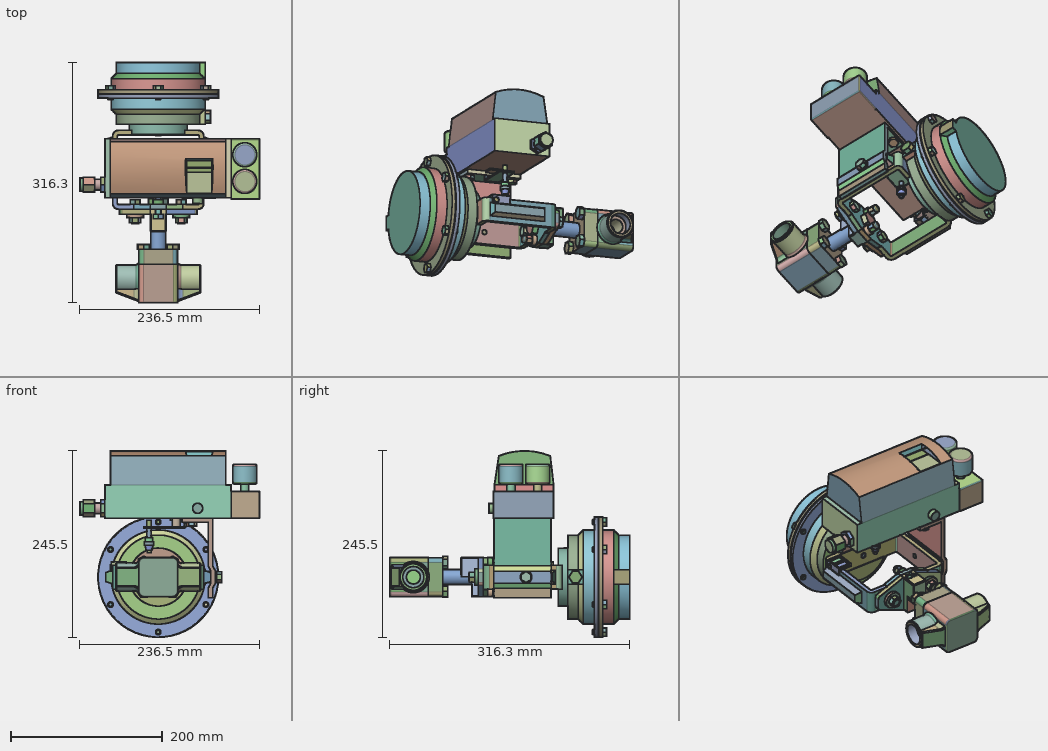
import cadquery as cq
import math




BODY_FRONT, BODY_BACK = -31.3, 19.5
BODY_HALF = 26.0
BODY_CORNER = 6.3
BODY_EDGE = 1.3
BONNET_BACK = 39.0
BONNET_HALF = 25.5
BONNET_BOLT_OFFSET = 19.0
BONNET_BOLT_SIZE = 17.0
BONNET_BOLT_BACK = 45.5
PIPE_RADIUS = 18.7
PIPE_HALF_LENGTH = 55.7
PIPE_CHAMFER = 1.3
NECK_RADIUS = 22.0
NECK_START = 32.3
SOCKET_RADIUS = 14.0
SOCKET_DEPTH = 14.2
BORE_RADIUS = 9.2
BORE_END = 12.5
GUSSET_HALF_WIDTH = 13.0
GUSSET_ROOT_HALF_WIDTH = 18.5
GUSSET_EDGE = 1.5
GUSSET_SETBACK = 1.5
GUSSET_EMBED = 1.0
STEM_RADIUS = 10.0

CLAMP_HALF_WIDTH = 10.5
CLAMP_HALF_HEIGHT = 26.0
CLAMP_UPPER_FRONT = 62.3
CLAMP_LOWER_FRONT = 77.0
CLAMP_LOWER_TOP = 0.3
CLAMP_EDGE = 1.3
CLAMP_BOLT_OFFSET = 19.0
PLATE_FRONT = 85.0
PLATE_HALF_LENGTH = 51.3
PLATE_END_HALF_HEIGHT = 9.8
PLATE_CORNER = 4.7
PLATE_BOLT_X = 30.5
NOTCH_HALF_WIDTH = 6.5
SLOT_HALF_WIDTH = 4.0
NOTCH_FRONT = 79.0
NOTCH_FLOOR = 12.5

YOKE_HALF_WIDTH = 60.0
YOKE_FRONT, YOKE_BACK = 91.8, 196.0
YOKE_HALF_HEIGHT = 15.8
YOKE_WALL = 6.3
YOKE_INSIDE = YOKE_FRONT + YOKE_WALL
YOKE_CORNER = 8.0
YOKE_LUG_HALF_WIDTH = 32.3
YOKE_LUG_INSET = 0.3
PAD_FRONT, PAD_BACK = 109.8, 187.0
PAD_HALF_HEIGHT = 9.2
PAD_HEIGHT = 9.2
PAD_TAPER = 3.5

FLANGE_RADIUS = 79.5
FLANGE_FRONT, FLANGE_BACK = 238.3, 249.3
CASE_RADIUS = 62.0
END_RADIUS = 55.5
ACTUATOR_FRONT, ACTUATOR_BACK = 203.5, 285.0
SHOULDER_FRONT, SHOULDER_BACK = 223.5, 264.0
SHOULDER_LENGTH = 6.5
HUB_RADIUS = 38.3
HUB_FRONT = 190.5
FLANGE_BOLT_CIRCLE = 72.5
FLANGE_BOLT_COUNT = 6
PORT_HALF_WIDTH = 9.5

BASE_LEFT, BASE_RIGHT = -70.2, 96.0
BASE_FRONT, BASE_BACK = 106.5, 184.8
BASE_BOTTOM, BASE_TOP = 77.2, 121.5
COVER_LEFT, COVER_RIGHT = -63.0, 89.0
COVER_EDGE_Z = 159.5
COVER_TOP = 166.0
COVER_FRONT_INSET, COVER_BACK_INSET = 5.7, 4.5
WINDOW_LEFT, WINDOW_RIGHT = 35.8, 72.0
WINDOW_BACK, WINDOW_STEP = 158.5, 140.5
WINDOW_FLOOR = 159.8
WINDOW_STEP_DEPTH = 0.5
WINDOW_TAPER = 2.0
WINDOW_BACK_LEAN = 3.2
GAUGE_BLOCK_RIGHT, GAUGE_BLOCK_TOP = 133.5, 113.0
GAUGE_BLOCK_FRONT = 105.0
GAUGE_BLOCK_EDGE = 1.3
GAUGE_X = 114.0
GAUGE_YS = (128.5, 163.5)
GAUGE_RADIUS = 15.8
GLAND_Y, GLAND_Z = 124.5, 90.5

BRACKET_INNER, BRACKET_WALL = 65.8, 6.0
BRACKET_JOG = YOKE_HALF_WIDTH + PAD_HEIGHT - BRACKET_INNER
BRACKET_BOTTOM = -27.5
BRACKET_FRONT, BRACKET_BACK = 106.0, 181.3
BRACKET_LEFT = 31.5
BRACKET_SHELF = 5.5
BRACKET_BOLT_Y = 148.5
LEVER_FRONT, LEVER_BACK = 136.0, 156.0
LEVER_PIN_X, LEVER_PIN_Y = -12.0, 146.2



def box(x_range, y_range, z_range):
    """Box spanning the given (low, high) ranges."""
    size = [high - low for low, high in (x_range, y_range, z_range)]
    return cq.Workplane().box(*size, centered=False).translate((x_range[0], y_range[0], z_range[0]))


def along_y(y, x=0, z=0):
    """Workplane facing +Y with local axes (-X, Z) and its origin at the given point."""
    return cq.Workplane(cq.Plane((x, y, z), (-1, 0, 0), (0, 1, 0)))


def along_x(x, y=0, z=0):
    """Workplane facing +X with local axes (Y, Z) and its origin at the given point."""
    return cq.Workplane(cq.Plane((x, y, z), (0, 1, 0), (1, 0, 0)))


def along_z(z, x=0, y=0):
    """Workplane facing +Z with its origin at the given point."""
    return cq.Workplane(cq.Plane((x, y, z), (1, 0, 0), (0, 0, 1)))


def rod(plane, radius, length):
    return plane.circle(radius).extrude(length)


def hexagon(plane, corner_diameter, length, turn=0):
    return plane.transformed(rotate=(0, 0, turn)).polygon(6, corner_diameter).extrude(length)


def mirrored_x(shape):
    return shape.union(shape.mirror("YZ"))



def rounded_block(half, front, back):
    """Square block along Y with rounded long corners."""
    block = box((-half, half), (front, back), (-half, half))
    return block.edges("|Y").fillet(BODY_CORNER)


def gusset():
    """Web under the right-hand pipe stub, sloping to the body and widening where it meets it."""
    tip = PIPE_HALF_LENGTH - PIPE_CHAMFER
    front = BODY_FRONT + GUSSET_SETBACK
    start = BODY_HALF - GUSSET_EMBED
    side_view = (
        cq.Workplane("XY", origin=(0, 0, -BODY_HALF))
        .polyline([(0, 0), (tip, -PIPE_RADIUS / 2), (tip, -PIPE_RADIUS), (start, front), (0, front)])
        .close()
        .extrude(2 * BODY_HALF)
    )
    half, root = GUSSET_HALF_WIDTH, GUSSET_ROOT_HALF_WIDTH
    bend_sag = 1.3
    root_bend = ((BODY_HALF + NECK_START) / 2 - bend_sag, (half + root) / 2 - bend_sag)
    front_view = (
        cq.Workplane("XZ")
        .moveTo(0, root)
        .lineTo(start, root)
        .threePointArc(root_bend, (NECK_START, half))
        .lineTo(tip, half)
        .lineTo(tip, -half)
        .lineTo(NECK_START, -half)
        .threePointArc((root_bend[0], -root_bend[1]), (start, -root))
        .lineTo(0, -root)
        .close()
        .extrude(-2 * front, both=True)
    )
    sloping_face = cq.selectors.BoxSelector((start, front, -half), (tip + 3.2, -PIPE_RADIUS + 0.3, half))
    web = side_view.intersect(front_view)
    return web.faces(sloping_face).edges("not |Z").chamfer(GUSSET_EDGE)


def pipe_end():
    """Right-hand pipe stub with flared neck and supporting gusset, before boring."""
    stub = rod(along_x(0), PIPE_RADIUS, PIPE_HALF_LENGTH).faces(">X").chamfer(PIPE_CHAMFER)
    flare_end = BODY_HALF - PIPE_CHAMFER
    flare_sag = 1.0
    flare_mid = ((flare_end + NECK_START) / 2 - flare_sag, (PIPE_RADIUS + NECK_RADIUS) / 2 - flare_sag)
    flare = (
        cq.Workplane("XY")
        .moveTo(0, 0)
        .lineTo(0, NECK_RADIUS)
        .lineTo(flare_end, NECK_RADIUS)
        .threePointArc(flare_mid, (NECK_START, PIPE_RADIUS))
        .lineTo(NECK_START, 0)
        .close()
        .revolve(360, (0, 0), (1, 0))
    )
    return stub.union(flare).union(gusset())


def pipe_bore():
    """Blind bore with a wider socket at its right-hand mouth."""
    bore = rod(along_x(BORE_END), BORE_RADIUS, PIPE_HALF_LENGTH - BORE_END)
    socket = rod(along_x(PIPE_HALF_LENGTH - SOCKET_DEPTH), SOCKET_RADIUS, SOCKET_DEPTH)
    return bore.union(socket)


def valve():
    body = rounded_block(BODY_HALF, BODY_FRONT, BODY_BACK).faces("<Y").edges().fillet(BODY_EDGE)
    body = body.union(rounded_block(BONNET_HALF, BODY_BACK, BONNET_BACK))
    body = body.union(mirrored_x(pipe_end())).cut(mirrored_x(pipe_bore()))
    bolt_length = BONNET_BOLT_BACK - BONNET_BACK
    for x in (-BONNET_BOLT_OFFSET, BONNET_BOLT_OFFSET):
        for z in (-BONNET_BOLT_OFFSET, BONNET_BOLT_OFFSET):
            turn = 30 if z > 0 else 0
            body = body.union(hexagon(along_y(BONNET_BACK, x, z), BONNET_BOLT_SIZE, bolt_length, turn))
    return body.union(rod(along_y(BONNET_BACK), STEM_RADIUS, YOKE_FRONT - BONNET_BACK))



def lozenge(front, back, inset=0.0):
    """Plate across the stem, tall in the middle and tapering to rounded ends."""
    outline = [
        (-PLATE_HALF_LENGTH, -PLATE_END_HALF_HEIGHT),
        (-CLAMP_HALF_WIDTH, -CLAMP_HALF_HEIGHT),
        (CLAMP_HALF_WIDTH, -CLAMP_HALF_HEIGHT),
        (PLATE_HALF_LENGTH, -PLATE_END_HALF_HEIGHT),
        (PLATE_HALF_LENGTH, PLATE_END_HALF_HEIGHT),
        (CLAMP_HALF_WIDTH, CLAMP_HALF_HEIGHT),
        (-CLAMP_HALF_WIDTH, CLAMP_HALF_HEIGHT),
        (-PLATE_HALF_LENGTH, PLATE_END_HALF_HEIGHT),
    ]
    shape = along_y(front).polyline(outline).close()
    if inset:
        shape = shape.offset2D(-inset)
    plate = shape.extrude(back - front)
    return plate.edges("|Y and (<X or >X)").fillet(PLATE_CORNER)


def yoke_pad():
    """Raised bar with sloping flanks on the outside of the right-hand yoke arm."""
    length, width = PAD_BACK - PAD_FRONT, 2 * PAD_HALF_HEIGHT
    return (
        along_x(YOKE_HALF_WIDTH, (PAD_FRONT + PAD_BACK) / 2)
        .rect(length, width)
        .workplane(offset=PAD_HEIGHT)
        .rect(length - 2 * PAD_TAPER, width - 2 * PAD_TAPER)
        .loft()
    )


def yoke():
    z_range = (-YOKE_HALF_HEIGHT, YOKE_HALF_HEIGHT)
    inner_half = YOKE_HALF_WIDTH - YOKE_WALL
    outer = box((-YOKE_HALF_WIDTH, YOKE_HALF_WIDTH), (YOKE_FRONT, YOKE_BACK), z_range)
    inner = box((-inner_half, inner_half), (YOKE_INSIDE, YOKE_BACK - YOKE_WALL), z_range)
    frame = outer.edges("|Z").fillet(YOKE_CORNER).cut(inner.edges("|Z").fillet(YOKE_CORNER - YOKE_WALL))
    lug_limit = box(
        (-YOKE_LUG_HALF_WIDTH, YOKE_LUG_HALF_WIDTH),
        (YOKE_FRONT, YOKE_INSIDE),
        (-CLAMP_HALF_HEIGHT, CLAMP_HALF_HEIGHT),
    )
    lug = lozenge(YOKE_FRONT, YOKE_INSIDE, YOKE_LUG_INSET).intersect(lug_limit)
    return frame.union(lug).union(mirrored_x(yoke_pad()))


def plate_bolt(x):
    """Bolt joining plate and yoke, with washer and nut in front and head behind."""
    washer_front, nut_front, thread_front = 80.7, 73.7, 72.8
    washer_radius, thread_radius = 11.0, 4.7
    nut_size, head_size, head_height = 15.2, 15.0, 6.3
    bolt = rod(along_y(washer_front, x), washer_radius, PLATE_FRONT - washer_front)
    bolt = bolt.union(hexagon(along_y(nut_front, x), nut_size, washer_front - nut_front))
    bolt = bolt.union(rod(along_y(thread_front, x), thread_radius, nut_front - thread_front))
    return bolt.union(hexagon(along_y(YOKE_INSIDE, x), head_size, head_height, turn=30))


def clamp_nut(z):
    """Washer and domed nut behind the yoke on one clamp bolt."""
    washer, nut, dome = 6.3, 7.5, 4.0
    washer_radius, nut_size, dome_radius, dome_edge = 7.0, 12.3, 5.0, 1.5
    shape = rod(along_y(YOKE_INSIDE, 0, z), washer_radius, washer)
    shape = shape.union(hexagon(along_y(YOKE_INSIDE + washer, 0, z), nut_size, nut))
    cap = rod(along_y(YOKE_INSIDE + washer + nut, 0, z), dome_radius, dome)
    return shape.union(cap.faces(">Y").edges().fillet(dome_edge))


def clamp():
    width = (-CLAMP_HALF_WIDTH, CLAMP_HALF_WIDTH)
    upper = box(width, (CLAMP_UPPER_FRONT, PLATE_FRONT), (CLAMP_LOWER_TOP, CLAMP_HALF_HEIGHT))
    upper = upper.edges("<Y or (|Y and >Z)").chamfer(CLAMP_EDGE)
    lower = box(width, (CLAMP_LOWER_FRONT, PLATE_FRONT), (-CLAMP_HALF_HEIGHT, CLAMP_LOWER_TOP))
    lower = lower.edges("|Y and <Z").chamfer(CLAMP_EDGE)
    notch_height = (NOTCH_FLOOR, CLAMP_HALF_HEIGHT)
    notch = box((-NOTCH_HALF_WIDTH, NOTCH_HALF_WIDTH), (NOTCH_FRONT, PLATE_FRONT), notch_height)
    slot = box((-SLOT_HALF_WIDTH, SLOT_HALF_WIDTH), (PLATE_FRONT, YOKE_FRONT), notch_height)
    shape = lozenge(PLATE_FRONT, YOKE_FRONT).union(upper).union(lower).cut(notch).cut(slot)

    head_size, head_height, shank_radius = 14.5, 6.3, 3.5
    bolt_plane = along_y(NOTCH_FRONT, 0, CLAMP_BOLT_OFFSET)
    shape = shape.union(hexagon(bolt_plane, head_size, head_height, turn=30))
    shape = shape.union(rod(bolt_plane, shank_radius, YOKE_FRONT - NOTCH_FRONT))
    for z in (-CLAMP_BOLT_OFFSET, CLAMP_BOLT_OFFSET):
        shape = shape.union(clamp_nut(z))

    stem_nut_size, stem_nut_height = 26.0, 7.5
    shape = shape.union(hexagon(along_y(YOKE_INSIDE), stem_nut_size, stem_nut_height))
    for x in (-PLATE_BOLT_X, PLATE_BOLT_X):
        shape = shape.union(plate_bolt(x))
    return shape


def arm_clip():
    """Small hooked tray over the top edge of the left yoke arm, with a screw end on its side."""
    front, back = 159.5, 184.5
    outside, inside = -62.0, -41.8
    top, bottom = 20.0, 9.0
    rim, pocket_depth = 1.5, 2.5
    tray = box((outside, inside), (front, back), (YOKE_HALF_HEIGHT, top))
    lip = box((outside, -YOKE_HALF_WIDTH), (front, back), (bottom, top))
    middle = (front + back) / 2
    for pocket_y in ((front + rim, middle - rim / 2), (middle + rim / 2, back - rim)):
        tray = tray.cut(box((outside + rim, inside - rim), pocket_y, (top - pocket_depth, top)))
    screw_y, screw_z, screw_radius, screw_height = 179.5, 13.0, 3.5, 1.3
    screw = rod(along_x(outside - screw_height, screw_y, screw_z), screw_radius, screw_height)
    return tray.union(lip).union(screw)



def flange_bolt(x, z):
    """Hexagon head behind the flange and a short chamfered thread end in front."""
    head_size, head_height = 13.0, 5.0
    thread_radius, thread_length, thread_chamfer = 3.5, 2.5, 1.0
    head = hexagon(along_y(FLANGE_BACK, x, z), head_size, head_height)
    thread = rod(along_y(FLANGE_FRONT - thread_length, x, z), thread_radius, thread_length)
    return head.union(thread.faces("<Y").chamfer(thread_chamfer))


def actuator():
    profile = [
        (0, HUB_FRONT),
        (HUB_RADIUS, HUB_FRONT),
        (HUB_RADIUS, ACTUATOR_FRONT),
        (END_RADIUS, ACTUATOR_FRONT),
        (END_RADIUS, SHOULDER_FRONT - SHOULDER_LENGTH),
        (CASE_RADIUS, SHOULDER_FRONT),
        (CASE_RADIUS, FLANGE_FRONT),
        (FLANGE_RADIUS, FLANGE_FRONT),
        (FLANGE_RADIUS, FLANGE_BACK),
        (CASE_RADIUS, FLANGE_BACK),
        (CASE_RADIUS, SHOULDER_BACK),
        (END_RADIUS, SHOULDER_BACK + SHOULDER_LENGTH),
        (END_RADIUS, ACTUATOR_BACK),
        (0, ACTUATOR_BACK),
    ]
    case = cq.Workplane("XY").polyline(profile).close().revolve(360, (0, 0), (0, 1))

    groove_depth, groove_width = 1.0, 0.5
    groove_start = (FLANGE_FRONT + FLANGE_BACK - groove_width) / 2
    ring = along_y(groove_start).circle(FLANGE_RADIUS).circle(FLANGE_RADIUS - groove_depth)
    case = case.cut(ring.extrude(groove_width))

    for index in range(FLANGE_BOLT_COUNT):
        angle = math.radians(30 + index * 360 / FLANGE_BOLT_COUNT)
        x, z = FLANGE_BOLT_CIRCLE * math.cos(angle), FLANGE_BOLT_CIRCLE * math.sin(angle)
        case = case.union(flange_bolt(x, z))

    port_width = (-PORT_HALF_WIDTH, PORT_HALF_WIDTH)
    for y_range in ((ACTUATOR_FRONT, SHOULDER_FRONT), (SHOULDER_BACK, ACTUATOR_BACK)):
        case = case.union(box((0, CASE_RADIUS), y_range, port_width))
    plug_y = (ACTUATOR_FRONT + SHOULDER_FRONT) / 2
    plug_size, plug_height = 17.0, 7.0
    plug = hexagon(along_x(CASE_RADIUS, plug_y), plug_size, plug_height)
    tip_radius, tip_length = 3.5, 2.2
    hub_tip = rod(along_y(HUB_FRONT - tip_length), tip_radius, tip_length)
    return case.union(plug).union(hub_tip)



def cover():
    """Hood with leaning sides, an arched top and a window recess near the right end."""
    middle = (BASE_FRONT + BASE_BACK) / 2
    hood = (
        along_x(COVER_LEFT)
        .moveTo(BASE_FRONT, BASE_TOP)
        .lineTo(BASE_FRONT + COVER_FRONT_INSET, COVER_EDGE_Z)
        .threePointArc((middle, COVER_TOP), (BASE_BACK - COVER_BACK_INSET, COVER_EDGE_Z))
        .lineTo(BASE_BACK, BASE_TOP)
        .close()
        .extrude(COVER_RIGHT - COVER_LEFT)
    )
    deep_floor = WINDOW_FLOOR - WINDOW_STEP_DEPTH
    across = (
        along_y(BASE_FRONT)
        .moveTo(-WINDOW_LEFT, COVER_TOP)
        .lineTo(-WINDOW_LEFT - WINDOW_TAPER, deep_floor)
        .lineTo(-WINDOW_RIGHT + WINDOW_TAPER, deep_floor)
        .lineTo(-WINDOW_RIGHT, COVER_TOP)
        .close()
        .extrude(BASE_BACK - BASE_FRONT)
    )
    lengthwise = (
        along_x(COVER_LEFT)
        .moveTo(BASE_FRONT, COVER_TOP)
        .lineTo(BASE_FRONT, WINDOW_FLOOR)
        .lineTo(WINDOW_STEP, WINDOW_FLOOR)
        .lineTo(WINDOW_STEP, deep_floor)
        .lineTo(WINDOW_BACK - WINDOW_BACK_LEAN, deep_floor)
        .lineTo(WINDOW_BACK, COVER_TOP)
        .close()
        .extrude(COVER_RIGHT - COVER_LEFT)
    )
    return hood.cut(across.intersect(lengthwise))


def gauge(y):
    """Pressure gauge standing on the gauge block."""
    dial_bottom, dial_top = 122.5, 148.7
    stem_radius, dial_edge = 5.5, 2.5
    stem = rod(along_z(GAUGE_BLOCK_TOP, GAUGE_X, y), stem_radius, dial_bottom - GAUGE_BLOCK_TOP)
    dial = rod(along_z(dial_bottom, GAUGE_X, y), GAUGE_RADIUS, dial_top - dial_bottom)
    return stem.union(dial.faces("<Z or >Z").edges().fillet(dial_edge))


def cable_gland():
    """Gland stepping out of the left face: lock nut, neck, cap nut and end ring."""
    size, neck_radius, end_radius = 22.8, 7.3, 9.0
    lock_x, neck_x, cap_x, end_x = -76.0, -84.0, -98.7, -103.0
    shape = hexagon(along_x(lock_x, GLAND_Y, GLAND_Z), size, BASE_LEFT - lock_x, turn=30)
    shape = shape.union(rod(along_x(neck_x, GLAND_Y, GLAND_Z), neck_radius, lock_x - neck_x))
    shape = shape.union(hexagon(along_x(cap_x, GLAND_Y, GLAND_Z), size, neck_x - cap_x, turn=30))
    return shape.union(rod(along_x(end_x, GLAND_Y, GLAND_Z), end_radius, cap_x - end_x))


def positioner():
    shape = box((BASE_LEFT, BASE_RIGHT), (BASE_FRONT, BASE_BACK), (BASE_BOTTOM, BASE_TOP)).union(cover())
    block = box(
        (BASE_RIGHT, GAUGE_BLOCK_RIGHT), (GAUGE_BLOCK_FRONT, BASE_BACK), (BASE_BOTTOM, GAUGE_BLOCK_TOP)
    )
    shape = shape.union(block.edges("not <X").fillet(GAUGE_BLOCK_EDGE))
    for y in GAUGE_YS:
        shape = shape.union(gauge(y))
    button_front, button_x, button_z, button_radius = 99.5, 52.0, 90.5, 6.5
    button = rod(along_y(button_front, button_x, button_z), button_radius, BASE_FRONT - button_front)
    return shape.union(button).union(cable_gland())



def bracket():
    """Angle bracket carrying the positioner, with a jog that clears the yoke pad."""
    jog_inner, jog_outer = 8.0, 14.5
    outer = BRACKET_INNER + BRACKET_WALL
    outline = [
        (BRACKET_LEFT, BASE_BOTTOM),
        (outer, BASE_BOTTOM),
        (outer, jog_outer),
        (outer + BRACKET_JOG, jog_inner),
        (outer + BRACKET_JOG, -jog_inner),
        (outer, -jog_outer),
        (outer, BRACKET_BOTTOM),
        (BRACKET_INNER, BRACKET_BOTTOM),
        (BRACKET_INNER, -jog_outer),
        (BRACKET_INNER + BRACKET_JOG, -jog_inner),
        (BRACKET_INNER + BRACKET_JOG, jog_inner),
        (BRACKET_INNER, jog_outer),
        (BRACKET_INNER, BASE_BOTTOM - BRACKET_SHELF),
        (BRACKET_LEFT, BASE_BOTTOM - BRACKET_SHELF),
    ]
    shape = (
        cq.Workplane("XZ", origin=(0, BRACKET_BACK, 0))
        .polyline(outline)
        .close()
        .extrude(BRACKET_BACK - BRACKET_FRONT)
    )

    jog_face = outer + BRACKET_JOG
    washer_radius, washer_height = 7.5, 2.0
    head_size, head_height = 14.5, 6.5
    thread_radius, thread_proud = 3.2, 0.3
    head_plane = along_x(jog_face + washer_height, BRACKET_BOLT_Y)
    thread_start = YOKE_HALF_WIDTH - YOKE_WALL - thread_proud
    shape = shape.union(rod(along_x(jog_face, BRACKET_BOLT_Y), washer_radius, washer_height))
    shape = shape.union(hexagon(head_plane, head_size, head_height, turn=30))
    shape = shape.union(rod(along_x(thread_start, BRACKET_BOLT_Y), thread_radius, jog_face - thread_start))

    shelf_bolt_x, shelf_bolt_size, shelf_bolt_height = 44.0, 14.0, 4.7
    for y in (114.0, 174.7):
        bolt_plane = along_z(BASE_BOTTOM - BRACKET_SHELF - shelf_bolt_height, shelf_bolt_x, y)
        shape = shape.union(hexagon(bolt_plane, shelf_bolt_size, shelf_bolt_height))
    return shape


def feedback_lever():
    """U-bent strip under the positioner with a hanging pin and a pivot shaft."""
    strip, bend_x, bend_radius = 2.2, 36.7, 3.8
    bottom, left, upper_left = 64.2, -19.0, 15.8
    depth = (LEVER_FRONT, LEVER_BACK)
    outer = box((left, bend_x), depth, (bottom, BASE_BOTTOM)).edges("|Y and >X").fillet(bend_radius)
    inner = box((left, bend_x - strip), depth, (bottom + strip, BASE_BOTTOM - strip))
    opening = box((left, upper_left), depth, (bottom + strip, BASE_BOTTOM))
    lever = outer.cut(inner.edges("|Y and >X").fillet(bend_radius - strip)).cut(opening)

    shaft_x, shaft_y, shaft_radius = 23.7, 134.0, 5.5
    shaft = rod(along_z(bottom + strip, shaft_x, shaft_y), shaft_radius, BASE_BOTTOM - bottom - strip)
    lever = lever.union(shaft)

    pin_profile = [
        (0, 32.0),
        (2.5, 32.0),
        (2.5, 35.5),
        (3.8, 35.5),
        (5.5, 41.8),
        (6.3, 41.8),
        (6.3, 46.2),
        (5.0, 46.2),
        (5.0, 51.5),
        (3.0, 51.5),
        (3.0, 75.0),
        (0, 75.0),
    ]
    pin = cq.Workplane("XZ").polyline(pin_profile).close().revolve(360, (0, 0), (0, 1))
    return lever.union(pin.translate((LEVER_PIN_X, LEVER_PIN_Y, 0)))



result = valve()
for section in (clamp, yoke, arm_clip, actuator, bracket, positioner, feedback_lever):
    result = result.union(section())